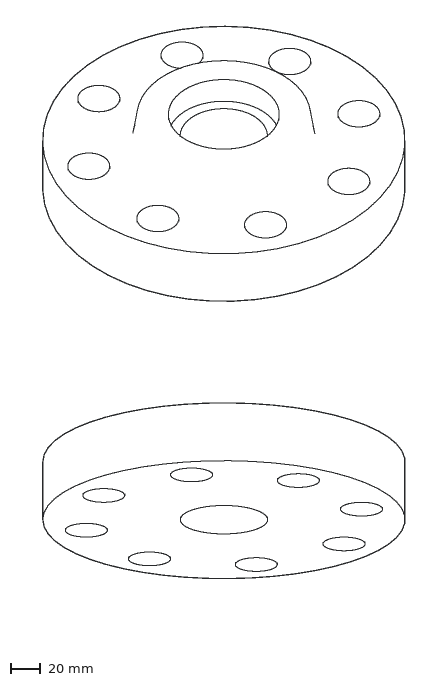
import cadquery as cq

flange_diameter = 244.3
flange_thickness = 41.3
total_height = 63.5

hub_base_diameter = 123.5
hub_top_diameter = 116.8
hub_root_fillet = 1.5
hub_top_fillet = 1.5

socket_diameter = 74.7
socket_depth = 18.8
bore_diameter = 58.9

bolt_count = 8
bolt_hole_diameter = 28.3
bolt_circle_diameter = 190.5


def make_body():
    """Revolve the plate and hub as one solid, then round the hub's root and rim."""
    body = (
        cq.Workplane("XZ")
        .lineTo(flange_diameter / 2, 0)
        .lineTo(flange_diameter / 2, flange_thickness)
        .lineTo(hub_base_diameter / 2, flange_thickness)
        .lineTo(hub_top_diameter / 2, total_height)
        .lineTo(0, total_height)
        .close()
        .revolve(360, (0, 0, 0), (0, 1, 0))
    )
    body = body.faces(">Z").edges().fillet(hub_top_fillet)
    second_largest_circle = cq.selectors.RadiusNthSelector(-2)
    return body.edges(second_largest_circle).fillet(hub_root_fillet)


def cut_centre_opening(body):
    """Cut the through bore and the wider socket at its upper end."""
    hub_face = body.faces(">Z").workplane()
    return hub_face.cboreHole(bore_diameter, socket_diameter, socket_depth)


def cut_bolt_holes(body):
    """Cut the ring of through holes in the plate."""
    holes = (
        cq.Workplane("XY")
        .polarArray(bolt_circle_diameter / 2, 0, 360, bolt_count)
        .circle(bolt_hole_diameter / 2)
        .extrude(flange_thickness)
    )
    return body.cut(holes)


result = cut_bolt_holes(cut_centre_opening(make_body()))